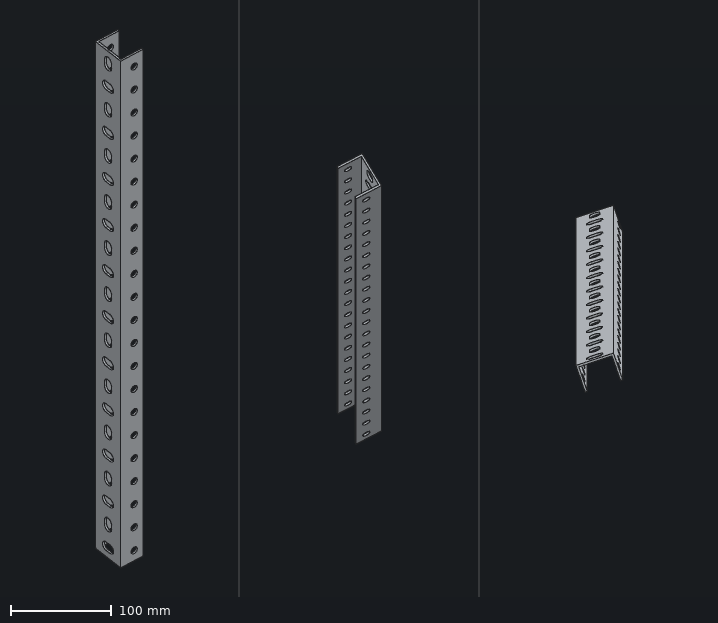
import cadquery as cq

length = 660.0
width = 39.5
depth = 29.0
thickness = 2.5

station_count = 22
pitch = length / station_count
row_drop = 1.0

slot_end_radius = 5.4
slot_end_spacing = 6.1
slot_width = 2 * slot_end_radius
slot_length = slot_end_spacing + slot_width

flange_hole_diameter = 8.0
flange_hole_offset = 3.0

lowest_height = -length / 2 + pitch / 2 - row_drop
station_heights = [lowest_height + i * pitch for i in range(station_count)]
level_heights = station_heights[0::2]
upright_heights = station_heights[1::2]


def channel():
    """U-shaped bar centred on the origin, open towards +Y."""
    bar = cq.Workplane("XY").box(width, depth, length)
    cavity = (
        cq.Workplane("XY")
        .box(width - 2 * thickness, depth, length)
        .translate((0, thickness, 0))
    )
    return bar.cut(cavity)


def web_slots(heights, angle):
    """Slot cutters through the web only; angle 0 is level and 90 is upright."""
    inner_face = -depth / 2 + thickness
    return (
        cq.Workplane("XZ", origin=(0, inner_face, 0))
        .pushPoints([(0, z) for z in heights])
        .slot2D(slot_length, slot_width, angle)
        .extrude(thickness)
    )


def flange_holes():
    """Round cutters running across both flanges at every station."""
    return (
        cq.Workplane("YZ")
        .pushPoints([(flange_hole_offset, z) for z in station_heights])
        .circle(flange_hole_diameter / 2)
        .extrude(width / 2, both=True)
    )


result = (
    channel()
    .cut(web_slots(level_heights, 0))
    .cut(web_slots(upright_heights, 90))
    .cut(flange_holes())
)